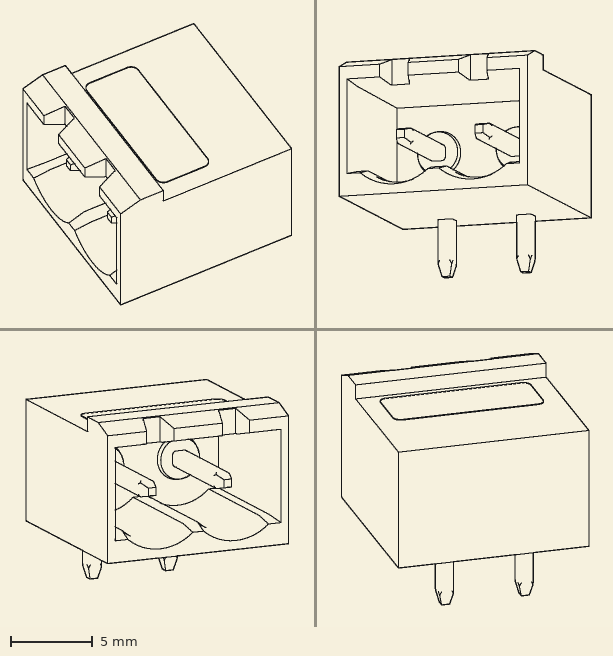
import cadquery as cq
import math


PITCH = 5.08
AXIS_Z = 3.89
POLE_X = (-PITCH / 2, PITCH / 2)

WIDTH = 12.16
LENGTH = 12.0
BODY_HEIGHT = 7.65
RIDGE_HEIGHT = 8.57
RIDGE_LENGTH = 2.99
FRONT_HEIGHT = 8.05
SLOPE_LENGTH = 1.39

LEAD_ANGLE = 15
LEAD_TAN = math.tan(math.radians(LEAD_ANGLE))

CAVITY_DEPTH = 8.51
CAVITY_WIDTH = 10.53
CAVITY_FLOOR = 1.69
CAVITY_CEILING = 6.95
CEILING_DROP = 0.07
SCALLOP_RADIUS = 3.02
LEAD_OFFSET = 0.3
LEAD_DEPTH = LEAD_OFFSET / LEAD_TAN

COLLAR_BASE_RADIUS = 1.39
COLLAR_TIP_RADIUS = 1.3
COLLAR_LENGTH = (COLLAR_BASE_RADIUS - COLLAR_TIP_RADIUS) / LEAD_TAN

SLOT_DEPTH = 1.29
SLOT_BACK_WIDTH = 1.14
SLOT_FRONT_WIDTH = SLOT_BACK_WIDTH + 2 * SLOT_DEPTH * LEAD_TAN

PANEL_WIDTH = 9.61
PANEL_LENGTH = 3.6
PANEL_HEIGHT = 0.05
PANEL_RADIUS = 0.5
PANEL_FRONT_Y = 3.5

PIN_SIZE = 1.0
PIN_EDGE_RADIUS = 0.22
PIN_TIP_SIZE = 0.51
PIN_TIP_LENGTH = 0.97
PIN_FRONT_Y = 1.2
PIN_LEG_Y = 10.01
PIN_LENGTH_BELOW = 3.5


def housing_block():
    """Stepped side profile, with the ridge sloping down to the front face."""
    profile = [
        (0, 0),
        (LENGTH, 0),
        (LENGTH, BODY_HEIGHT),
        (RIDGE_LENGTH, BODY_HEIGHT),
        (RIDGE_LENGTH, RIDGE_HEIGHT),
        (SLOPE_LENGTH, RIDGE_HEIGHT),
        (0, FRONT_HEIGHT),
    ]
    return cq.Workplane("YZ").polyline(profile).close().extrude(WIDTH / 2, both=True)


def label_panel():
    panel = cq.Workplane("XY").box(PANEL_WIDTH, PANEL_LENGTH, PANEL_HEIGHT, centered=(True, False, False))
    return panel.edges("|Z").fillet(PANEL_RADIUS).translate((0, PANEL_FRONT_Y, BODY_HEIGHT))


def cavity_outline(y, offset, ceiling):
    """Cavity section at depth y, widened by offset: a rectangle with one scallop under each pin."""
    half_width = CAVITY_WIDTH / 2 + offset
    floor = CAVITY_FLOOR - offset
    radius = SCALLOP_RADIUS + offset
    half_chord = math.sqrt(radius**2 - (AXIS_Z - floor) ** 2)

    outline = cq.Workplane("XZ", origin=(0, y, 0)).moveTo(-half_width, floor)
    for x in POLE_X:
        outline = outline.lineTo(x - half_chord, floor)
        outline = outline.threePointArc((x, AXIS_Z - radius), (x + half_chord, floor))
    outline = outline.lineTo(half_width, floor).lineTo(half_width, ceiling).lineTo(-half_width, ceiling)
    return outline.close().val()


def cavity():
    """Plug cavity: flared lead-in, then a chamber whose ceiling falls slightly to the back wall."""
    mouth = cavity_outline(0, LEAD_OFFSET, CAVITY_CEILING + LEAD_OFFSET)
    throat = cavity_outline(LEAD_DEPTH, 0, CAVITY_CEILING)
    back = cavity_outline(CAVITY_DEPTH, 0, CAVITY_CEILING - CEILING_DROP)
    lead_in = cq.Solid.makeLoft([mouth, throat], True)
    chamber = cq.Solid.makeLoft([throat, back], True)
    return cq.Workplane(lead_in).union(cq.Workplane(chamber))


def collar(x):
    cone = cq.Solid.makeCone(
        COLLAR_BASE_RADIUS,
        COLLAR_TIP_RADIUS,
        COLLAR_LENGTH,
        pnt=cq.Vector(x, CAVITY_DEPTH, AXIS_Z),
        dir=cq.Vector(0, -1, 0),
    )
    return cq.Workplane(cone)


def keying_slot(x):
    """Slot through the ridge from the cavity upwards, narrowing towards its back."""
    plan = [
        (x - SLOT_FRONT_WIDTH / 2, 0),
        (x + SLOT_FRONT_WIDTH / 2, 0),
        (x + SLOT_BACK_WIDTH / 2, SLOT_DEPTH),
        (x - SLOT_BACK_WIDTH / 2, SLOT_DEPTH),
    ]
    slot = cq.Workplane("XY", origin=(0, 0, AXIS_Z)).polyline(plan).close()
    return slot.extrude(RIDGE_HEIGHT - AXIS_Z)


def pointed_leg(length):
    """Square bar along +Z whose far end tapers to a smaller square."""
    shank = cq.Workplane("XY").rect(PIN_SIZE, PIN_SIZE).extrude(length - PIN_TIP_LENGTH)
    tip = (
        shank.faces(">Z").workplane()
        .rect(PIN_SIZE, PIN_SIZE)
        .workplane(offset=PIN_TIP_LENGTH)
        .rect(PIN_TIP_SIZE, PIN_TIP_SIZE)
        .loft(ruled=True, combine=False)
    )
    return shank.union(tip)


def pin(x):
    """Right-angle pin: a rounded square bar swept round the corner, pointed at both ends."""
    bend = (x, PIN_LEG_Y, AXIS_Z)
    half = PIN_SIZE / 2

    section = cq.Sketch().rect(PIN_SIZE, PIN_SIZE).vertices().fillet(PIN_EDGE_RADIUS)
    path = cq.Workplane("YZ", origin=(x, 0, 0)).polyline(
        [(PIN_FRONT_Y, AXIS_Z), (PIN_LEG_Y, AXIS_Z), (PIN_LEG_Y, -PIN_LENGTH_BELOW)]
    )
    bar = (
        cq.Workplane("XZ", origin=(x, PIN_FRONT_Y, AXIS_Z))
        .placeSketch(section)
        .sweep(path, transition="right")
    )

    front_leg = pointed_leg(PIN_LEG_Y + half - PIN_FRONT_Y)
    front_leg = front_leg.translate((0, 0, -half)).rotate((0, 0, 0), (1, 0, 0), 90).translate(bend)
    lower_leg = pointed_leg(AXIS_Z + half + PIN_LENGTH_BELOW)
    lower_leg = lower_leg.translate((0, 0, -half)).rotate((0, 0, 0), (1, 0, 0), 180).translate(bend)
    return bar.intersect(front_leg.union(lower_leg))


pins = [pin(x) for x in POLE_X]

housing = housing_block().union(label_panel()).cut(cavity())
for x in POLE_X:
    housing = housing.union(collar(x)).cut(keying_slot(x))
for each_pin in pins:
    housing = housing.cut(each_pin)

result = cq.Compound.makeCompound([solid.solids().val() for solid in [housing, *pins]])